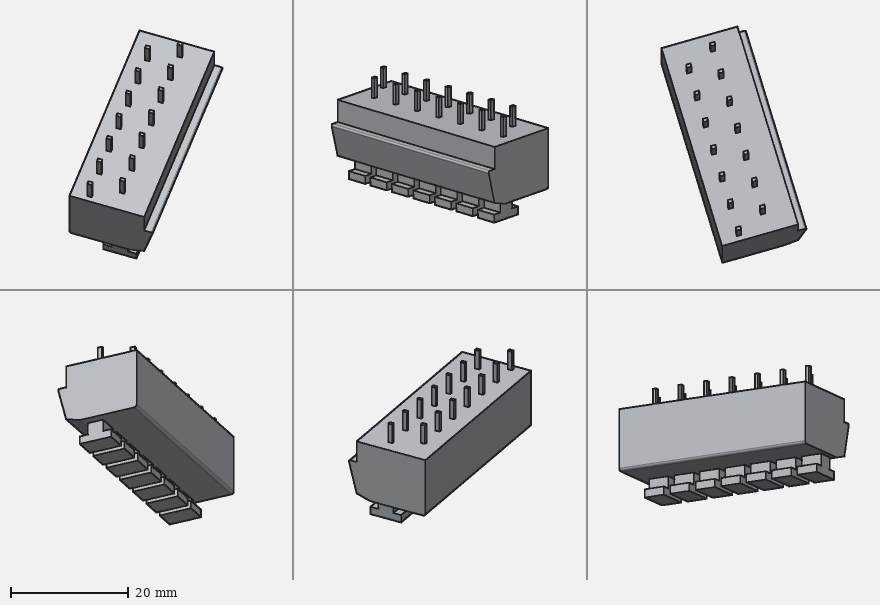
import cadquery as cq
import math

length = 36.5
overall_width = 15.0
body_width = 13.5
body_height = 10.9
base_fillet = 0.5

lip_height = 6.9
lip_fillet = 0.3
lip_angle = 14.5
chamfer_height = 0.8
chamfer_start = 10.85

pin_count = 14
pin_row_count = 2
pin_pitch = 2.5
pin_width = 0.8
pin_depth = 0.6
pin_length = 3.6
first_pin_y = 1.25
pin_row_x = 3.3
pin_row_spacing = 5.0

key_count = 7
key_pitch = pin_row_count * pin_pitch
key_depth = 3.8
first_key_y = 2.9
key_center_x = 8.75
key_height = 3.6
stem_width = 2.95
foot_width = 6.0
foot_height = 1.45


def make_housing():
    half_corner = math.radians((90 - lip_angle) / 2)
    lip_corner_x = overall_width - lip_fillet + lip_fillet / math.tan(half_corner)
    lip_run = (lip_height - chamfer_height) * math.tan(math.radians(lip_angle))
    outline = [
        (0, 0),
        (chamfer_start, 0),
        (lip_corner_x - lip_run, chamfer_height),
        (lip_corner_x, lip_height),
        (body_width, lip_height),
        (body_width, body_height),
        (0, body_height),
    ]
    housing = cq.Workplane("XZ").polyline(outline).close().extrude(-length)
    housing = housing.edges(cq.NearestToPointSelector((0, length / 2, 0))).fillet(base_fillet)
    lip_edge = cq.NearestToPointSelector((lip_corner_x, length / 2, lip_height))
    return housing.edges(lip_edge).fillet(lip_fillet)


def make_pin(index):
    x = pin_row_x + (index % pin_row_count) * pin_row_spacing
    y = first_pin_y + index * pin_pitch
    pin = cq.Workplane("XY").box(pin_width, pin_depth, pin_length, centered=(True, True, False))
    return pin.translate((x, y, body_height))


def make_key(index):
    y = first_key_y + index * key_pitch
    base = cq.Workplane("XY", origin=(key_center_x, y, -key_height))
    stem = base.box(stem_width, key_depth, key_height, centered=(True, True, False))
    foot = base.box(foot_width, key_depth, foot_height, centered=(True, True, False))
    return stem.union(foot)


result = make_housing()
for pin_index in range(pin_count):
    result = result.union(make_pin(pin_index))
for key_index in range(key_count):
    result = result.union(make_key(key_index))